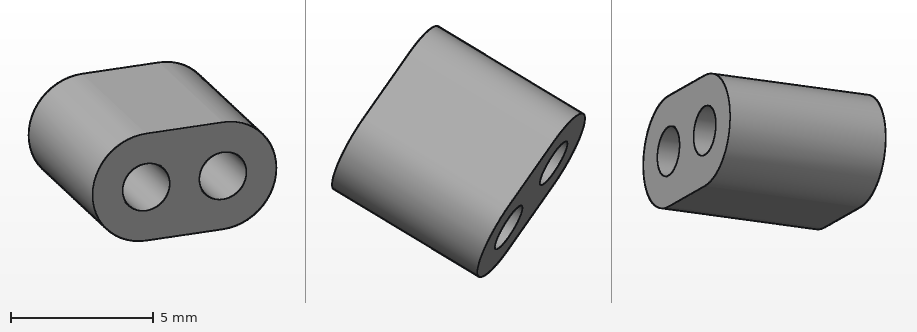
import cadquery as cq

length = 6.1
width = 6.96
height = 4.06
bore_diameter = 1.78

bore_spacing = width - height


def make_body():
    """Bar with a slot-shaped section, running along X and centred on the origin."""
    section = cq.Workplane("YZ").slot2D(width, height)
    return section.extrude(length / 2, both=True)


def make_bores():
    """Two parallel cylinders along X, the full length of the body."""
    centres = [(-bore_spacing / 2, 0), (bore_spacing / 2, 0)]
    circles = cq.Workplane("YZ").pushPoints(centres).circle(bore_diameter / 2)
    return circles.extrude(length / 2, both=True)


result = make_body().cut(make_bores())